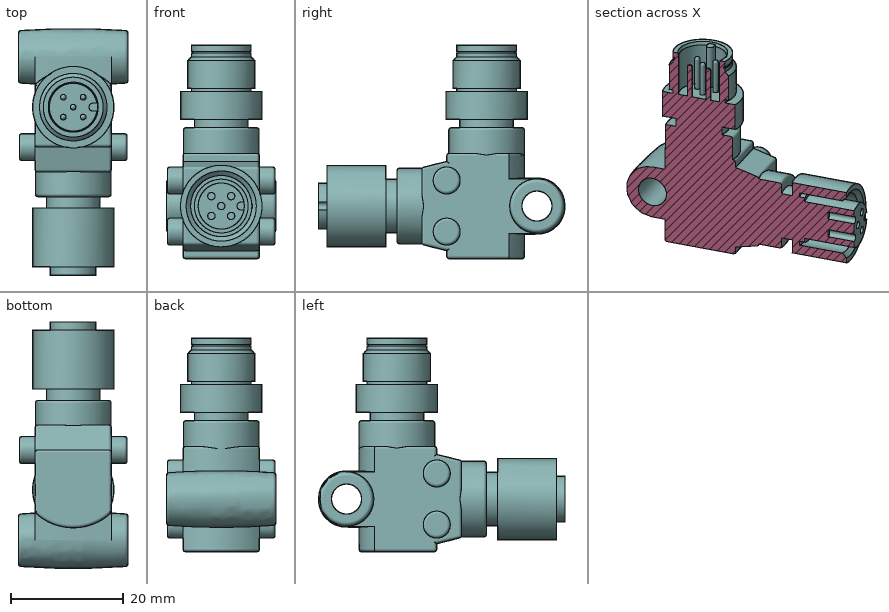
import cadquery as cq
import math


HALF_WIDTH = 6.8
HALF_HEIGHT = 9.38
FRONT_Y = -7.1
BACK_Y = 6.75
BACK_CORNER_Y = 4.0
EDGE_RADIUS = 0.5
NECK_START_HALF_HEIGHT = 7.95
NECK_END_HALF_HEIGHT = 6.85
NECK_END_Y = -11.52
NECK_OVERLAP = 2.0

COLLAR_RADIUS = 6.75
SHANK_RADIUS = 4.78
NUT_RADIUS = 7.25
CONTACT_OFFSET = 1.76
CONTACT_POINTS = [(0, 0)] + [
    (sx * CONTACT_OFFSET, sy * CONTACT_OFFSET) for sx in (-1, 1) for sy in (-1, 1)
]
KEY_RADIUS = 0.7
KEY_OFFSET = 3.5

PLUG_COLLAR_TOP = 13.95
PLUG_NUT_BOTTOM = 15.4
PLUG_NUT_TOP = 20.4
THREAD_BOTTOM = 20.95
THREAD_CHAMFER_BOTTOM = 25.85
THREAD_TOP = 26.55
GROOVE_BOTTOM = 27.2
GROOVE_TOP = 27.5
PLUG_TOP = 28.6
THREAD_RADIUS = 6.0
TIP_RADIUS = 5.33
GROOVE_RADIUS = 5.1
PLUG_BORE_RADIUS = 4.25
PLUG_MOUTH_RADIUS = 4.45
PLUG_MOUTH_DEPTH = 0.6
PIN_RADIUS = 0.5
PIN_TIP = 26.6
KEY_TOP = 28.3
KEY_WALL_OVERLAP = 0.4

SOCKET_COLLAR_END = 15.94
SOCKET_NUT_START = 17.92
SOCKET_NUT_END = 28.42
SOCKET_END = 29.9
INSERT_RADIUS = 4.1
NUT_BORE_RADIUS = 5.44
NUT_MOUTH_RADIUS = 6.24
NUT_MOUTH_DEPTH = 0.8
NUT_BORE_FLOOR = 19.4
SHANK_END = 20.4
CONTACT_HOLE_RADIUS = 0.65
CONTACT_HOLE_DEPTH = 5.0

BARREL_Y = 8.95
BARREL_HALF_LENGTH = 9.75
BARREL_MID_RADIUS = 5.03
BARREL_END_RADIUS = 4.66
BARREL_HOLE_RADIUS = 2.65

PEG_RADIUS = 2.4
PEG_HALF_SPAN = 9.6
PEG_Z = 4.55


def cylinder(radius, start, end):
    """Cylinder about Z between two heights."""
    return cq.Workplane("XY").workplane(offset=start).circle(radius).extrude(end - start)


def make_main_block():
    """Upright block with a bowed back whose two back corners stay sharp."""
    block = (
        cq.Workplane("XY")
        .workplane(offset=-HALF_HEIGHT)
        .moveTo(-HALF_WIDTH, BACK_CORNER_Y)
        .lineTo(-HALF_WIDTH, FRONT_Y)
        .lineTo(HALF_WIDTH, FRONT_Y)
        .lineTo(HALF_WIDTH, BACK_CORNER_Y)
        .threePointArc((0, BACK_Y), (-HALF_WIDTH, BACK_CORNER_Y))
        .close()
        .extrude(2 * HALF_HEIGHT)
    )
    return block.faces("<Y or <Z or >Z").edges().fillet(EDGE_RADIUS)


def make_neck():
    """Tapered block that carries the socket collar."""
    slope = (NECK_START_HALF_HEIGHT - NECK_END_HALF_HEIGHT) / (FRONT_Y - NECK_END_Y)
    rear_y = FRONT_Y + NECK_OVERLAP
    rear_half_height = NECK_START_HALF_HEIGHT + slope * NECK_OVERLAP
    neck = (
        cq.Workplane("YZ")
        .polyline([
            (rear_y, -rear_half_height),
            (NECK_END_Y, -NECK_END_HALF_HEIGHT),
            (NECK_END_Y, NECK_END_HALF_HEIGHT),
            (rear_y, rear_half_height),
        ])
        .close()
        .extrude(HALF_WIDTH, both=True)
    )
    return neck.edges("not >Y").fillet(EDGE_RADIUS)


def make_collar(end):
    """Round collar from the housing centre to its rounded outer rim."""
    return cylinder(COLLAR_RADIUS, 0, end).faces(">Z").edges().fillet(EDGE_RADIUS)


def make_plug():
    """Male connector standing on Z: nut, threaded sleeve, pins and key."""
    profile = [
        (0, 0),
        (SHANK_RADIUS, 0),
        (SHANK_RADIUS, PLUG_NUT_BOTTOM),
        (NUT_RADIUS, PLUG_NUT_BOTTOM),
        (NUT_RADIUS, PLUG_NUT_TOP),
        (TIP_RADIUS, PLUG_NUT_TOP),
        (TIP_RADIUS, THREAD_BOTTOM),
        (THREAD_RADIUS, THREAD_BOTTOM),
        (THREAD_RADIUS, THREAD_CHAMFER_BOTTOM),
        (TIP_RADIUS, THREAD_TOP),
        (TIP_RADIUS, GROOVE_BOTTOM),
        (GROOVE_RADIUS, GROOVE_BOTTOM),
        (GROOVE_RADIUS, GROOVE_TOP),
        (TIP_RADIUS, GROOVE_TOP),
        (TIP_RADIUS, PLUG_TOP),
        (PLUG_MOUTH_RADIUS, PLUG_TOP),
        (PLUG_BORE_RADIUS, PLUG_TOP - PLUG_MOUTH_DEPTH),
        (PLUG_BORE_RADIUS, PLUG_NUT_TOP),
        (0, PLUG_NUT_TOP),
    ]
    plug = cq.Workplane("XZ").polyline(profile).close().revolve(360, (0, 0), (0, 1))

    for x, y in CONTACT_POINTS:
        shaft = cylinder(PIN_RADIUS, PLUG_NUT_BOTTOM, PIN_TIP - PIN_RADIUS)
        tip = cq.Workplane("XY").sphere(PIN_RADIUS).translate((0, 0, PIN_TIP - PIN_RADIUS))
        plug = plug.union(shaft.union(tip).translate((x, y, 0)))

    wall_x = PLUG_BORE_RADIUS + KEY_WALL_OVERLAP
    key = (
        cylinder(KEY_RADIUS, PLUG_NUT_BOTTOM, KEY_TOP).translate((KEY_OFFSET, 0, 0))
        .union(
            cq.Workplane("XY")
            .workplane(offset=PLUG_NUT_BOTTOM)
            .center((KEY_OFFSET + wall_x) / 2, 0)
            .rect(wall_x - KEY_OFFSET, 2 * KEY_RADIUS)
            .extrude(KEY_TOP - PLUG_NUT_BOTTOM)
        )
    )
    return plug.union(key).union(make_collar(PLUG_COLLAR_TOP))


def make_socket():
    """Female connector, built standing on Z and laid down along -Y."""
    profile = [
        (0, 0),
        (SHANK_RADIUS, 0),
        (SHANK_RADIUS, SOCKET_NUT_START),
        (NUT_RADIUS, SOCKET_NUT_START),
        (NUT_RADIUS, SOCKET_NUT_END),
        (NUT_MOUTH_RADIUS, SOCKET_NUT_END),
        (NUT_BORE_RADIUS, SOCKET_NUT_END - NUT_MOUTH_DEPTH),
        (NUT_BORE_RADIUS, NUT_BORE_FLOOR),
        (SHANK_RADIUS, NUT_BORE_FLOOR),
        (SHANK_RADIUS, SHANK_END),
        (INSERT_RADIUS, SHANK_END),
        (INSERT_RADIUS, SOCKET_END),
        (0, SOCKET_END),
    ]
    socket = cq.Workplane("XZ").polyline(profile).close().revolve(360, (0, 0), (0, 1))

    hole_floor = SOCKET_END - CONTACT_HOLE_DEPTH
    holes = (
        cq.Workplane("XY")
        .workplane(offset=hole_floor)
        .pushPoints(CONTACT_POINTS)
        .circle(CONTACT_HOLE_RADIUS)
        .extrude(CONTACT_HOLE_DEPTH)
    )
    keyway = (
        cq.Workplane("XY")
        .workplane(offset=hole_floor)
        .center(KEY_OFFSET + KEY_RADIUS, 0)
        .slot2D(4 * KEY_RADIUS, 2 * KEY_RADIUS)
        .extrude(CONTACT_HOLE_DEPTH)
    )
    socket = socket.cut(holes).cut(keyway).union(make_collar(SOCKET_COLLAR_END))
    return socket.rotate((0, 0, 0), (1, 0, 0), 90)


def make_barrel():
    """Mounting barrel, thickest at its middle, with a web of the same bow to the housing."""
    bow = BARREL_MID_RADIUS - BARREL_END_RADIUS
    bow_radius = (BARREL_HALF_LENGTH**2 + bow**2) / (2 * bow)
    web_radius = BARREL_MID_RADIUS - bow_radius + math.sqrt(bow_radius**2 - HALF_WIDTH**2)

    barrel = (
        cq.Workplane("XY")
        .moveTo(-BARREL_HALF_LENGTH, 0)
        .lineTo(-BARREL_HALF_LENGTH, BARREL_END_RADIUS)
        .threePointArc((0, BARREL_MID_RADIUS), (BARREL_HALF_LENGTH, BARREL_END_RADIUS))
        .lineTo(BARREL_HALF_LENGTH, 0)
        .close()
        .revolve(360, (0, 0), (1, 0))
        .faces("<X or >X")
        .edges()
        .fillet(EDGE_RADIUS)
        .translate((0, BARREL_Y, 0))
    )
    web = (
        cq.Workplane("XZ")
        .moveTo(-HALF_WIDTH, -web_radius)
        .lineTo(-HALF_WIDTH, web_radius)
        .threePointArc((0, BARREL_MID_RADIUS), (HALF_WIDTH, web_radius))
        .lineTo(HALF_WIDTH, -web_radius)
        .threePointArc((0, -BARREL_MID_RADIUS), (-HALF_WIDTH, -web_radius))
        .close()
        .extrude(-BARREL_Y)
    )
    return barrel.union(web)


def make_pegs():
    """Two rounded pegs crossing the housing and standing out of both sides."""
    return (
        cq.Workplane("YZ")
        .pushPoints([(FRONT_Y, PEG_Z), (FRONT_Y, -PEG_Z)])
        .circle(PEG_RADIUS)
        .extrude(PEG_HALF_SPAN, both=True)
        .faces("<X or >X")
        .edges()
        .fillet(EDGE_RADIUS)
    )


barrel_hole = (
    cq.Workplane("YZ")
    .center(BARREL_Y, 0)
    .circle(BARREL_HOLE_RADIUS)
    .extrude(BARREL_HALF_LENGTH, both=True)
)

housing = make_main_block().union(make_neck()).union(make_barrel()).union(make_pegs())
result = housing.union(make_plug()).union(make_socket()).cut(barrel_hole).clean()